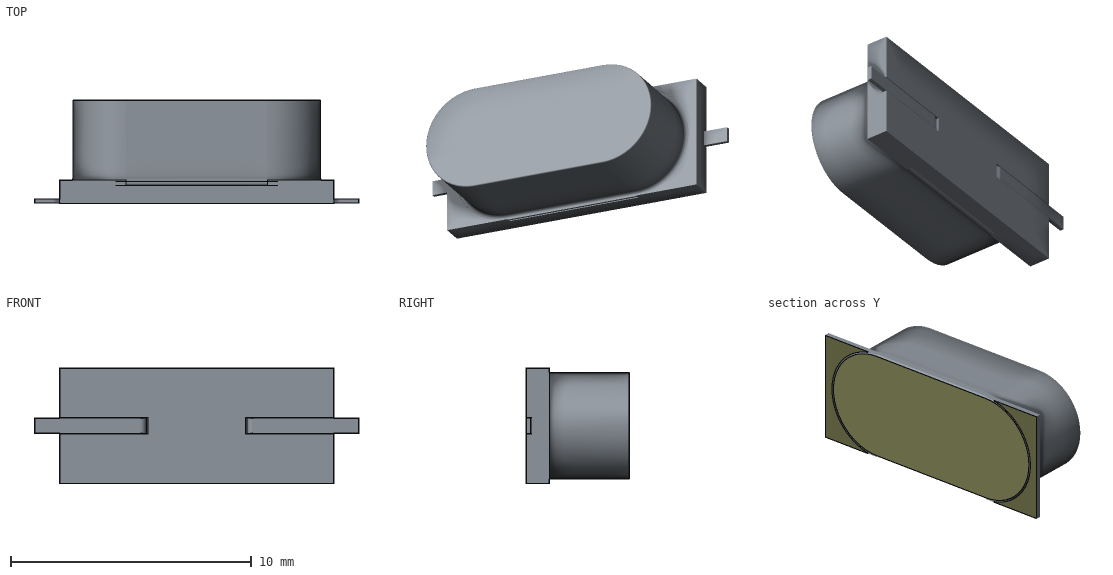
import cadquery as cq
import math

total_length = 13.48
total_depth = 4.3

base_length = 11.4
base_height = 4.8
base_thickness = 0.97

end_spacing = 5.88
can_radius = 2.21
can_top_fillet = 0.05
flange_radius = base_height / 2
flange_bottom = 0.74
rim_bottom = 0.84
flange_top = 0.92
neck_radius = 0.12

lead_thickness = 0.18
lead_height = 0.63
lead_setback = 0.01
lead_inner_x = 2.09
bend_radius = 0.23

side_gap = 0.03
end_gap = 0.05
lead_top_gap = 0.03

slot_height = lead_height + 2 * side_gap
slot_inner_x = lead_inner_x - end_gap
slot_depth = lead_setback + lead_thickness + lead_top_gap
shank_outer_x = lead_inner_x + lead_thickness
DIRECTIONS = (-1, 1)


def y_plane(y):
    """Sketch plane at height y with local x = -X, local y = +Z and normal +Y."""
    return cq.Workplane(cq.Plane(origin=(0, y, 0), xDir=(-1, 0, 0), normal=(0, 1, 0)))


def stadium(radius, y_start, y_end):
    """Round-ended block along X between two Y levels."""
    return y_plane(y_start).slot2D(end_spacing + 2 * radius, 2 * radius).extrude(y_end - y_start)


def block(x_a, x_b, y_a, y_b, height):
    """Box between two X and two Y levels, centred on Z = 0."""
    size_x = abs(x_b - x_a)
    center = ((x_a + x_b) / 2, (y_a + y_b) / 2, 0)
    return cq.Workplane("XY").box(size_x, y_b - y_a, height).translate(center)


def make_can():
    """Can with a rounded top, a flared neck and a flange rounded underneath."""
    flange = stadium(flange_radius, flange_bottom, flange_top)
    flange = flange.faces("<Y").edges().fillet(rim_bottom - flange_bottom)
    shell = stadium(can_radius, flange_top, total_depth)
    shell = shell.faces(">Y").edges().fillet(can_top_fillet)
    can = flange.union(shell)
    reach = (end_spacing / 2 + can_radius) + (flange_radius - can_radius) / 2
    half_height = (can_radius + flange_radius) / 2
    level = neck_radius / 4
    corner = cq.selectors.BoxSelector(
        (-reach, flange_top - level, -half_height), (reach, flange_top + level, half_height), True
    )
    return can.edges(corner).fillet(neck_radius)


def make_lead(direction):
    """Lead running outward along the base, bent up into the underside of the can."""
    inner_bend = bend_radius - lead_thickness
    lower_y = lead_setback
    upper_y = lead_setback + lead_thickness
    center_x = lead_inner_x + bend_radius
    center_y = lower_y + bend_radius
    diagonal = math.sqrt(0.5)
    tip_x = total_length / 2

    profile = (
        cq.Workplane("XY", origin=(0, 0, -lead_height / 2))
        .moveTo(tip_x, lower_y)
        .lineTo(center_x, lower_y)
        .threePointArc(
            (center_x - bend_radius * diagonal, center_y - bend_radius * diagonal),
            (lead_inner_x, center_y),
        )
        .lineTo(lead_inner_x, flange_bottom)
        .lineTo(shank_outer_x, flange_bottom)
        .lineTo(shank_outer_x, center_y)
        .threePointArc(
            (center_x - inner_bend * diagonal, center_y - inner_bend * diagonal),
            (center_x, upper_y),
        )
        .lineTo(tip_x, upper_y)
        .close()
    )
    lead = profile.extrude(lead_height)
    return lead if direction > 0 else lead.mirror("YZ")


def make_crystal():
    """Can and both leads as one solid."""
    crystal = make_can()
    for direction in DIRECTIONS:
        crystal = crystal.union(make_lead(direction))
    return crystal


def make_base():
    """Plate with a flange pocket open along its long sides, plus a slot and window per lead."""
    half_length = base_length / 2
    base = block(-half_length, half_length, 0, base_thickness, base_height)
    base = base.cut(stadium(flange_radius, flange_bottom, base_thickness))
    window_outer_x = lead_inner_x + bend_radius
    for direction in DIRECTIONS:
        slot = block(direction * slot_inner_x, direction * half_length, 0, slot_depth, slot_height)
        window = block(direction * slot_inner_x, direction * window_outer_x, 0, flange_bottom, slot_height)
        base = base.cut(slot).cut(window)
    return base


crystal = make_crystal()
base = make_base()
result = cq.Compound.makeCompound([crystal.val(), base.val()])